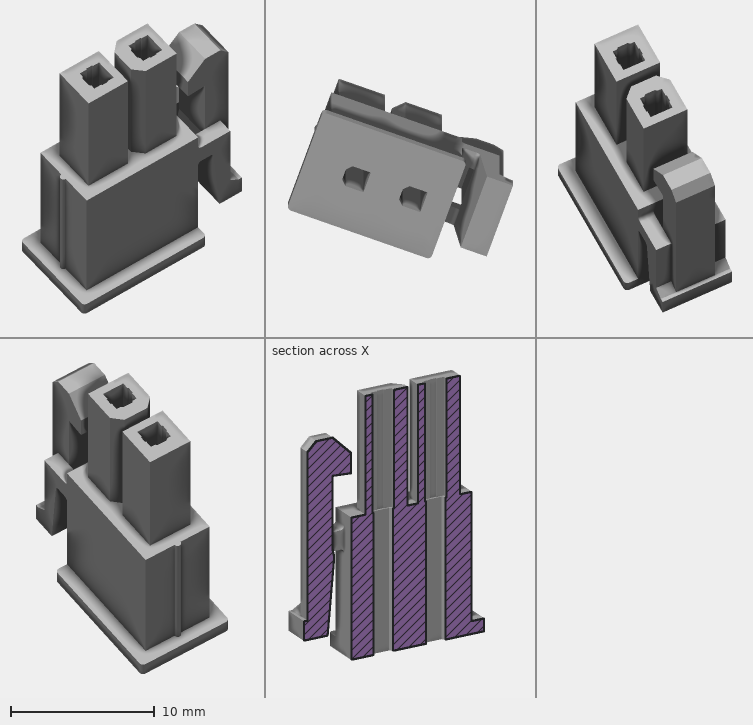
import cadquery as cq


OVERALL_DEPTH = 14.4

FLANGE_WIDTH = 7.39
FLANGE_DEPTH = 10.62
FLANGE_HEIGHT = 1.0
FLANGE_CORNER_RADIUS = 0.3

BODY_WIDTH = 5.4
BODY_DEPTH = 9.63
BODY_TOP = 10.7
RIB_RADIUS = 0.25

TOWER_PITCH = 4.2
TOWER_SIZE = 3.4
TOWER_TOP = 19.6
FIRST_TOWER_BACK = -1.12
KEY_CHAMFER = 0.73

MOUTH_WIDTH = 1.7
MOUTH_DEPTH = 1.66
MOUTH_SETBACK = 0.61
SIDE_GROOVE_SPAN = 1.85
SIDE_GROOVE_WIDTH = 0.53
SIDE_GROOVE_SETBACK = 0.53
PASSAGE_WIDTH = 1.5
PASSAGE_DEPTH = 1.7
PASSAGE_SETBACK = 0.09
PASSAGE_CHAMFER = 0.37

ARM_WIDTH = 3.03
ARM_INNER_Y = 1.48
ARM_OUTER_Y = 3.5
LATCH_TOP = 17.0
ARM_BACK_CHAMFER = 0.7
HOOK_TIP_TOP = 15.55
HOOK_TIP_BOTTOM = 14.0
HOOK_ROOT_BOTTOM = 14.1

BRIDGE_TOP = 9.43
BRIDGE_BOTTOM = 7.98
BRIDGE_FILLET = 0.3
LEG_OUTER_Y = 2.78
LEG_INNER_TOP_Y = 1.33
FOOT_INNER_Y = 1.86
FOOT_OUTER_Y = OVERALL_DEPTH - FLANGE_DEPTH
FOOT_BOTTOM = 2.2
FOOT_TOP = 3.68
FOOT_RAMP_TOP = 4.1


def block(width, back, depth, bottom, top):
    """Box centred on X that runs from `back` toward -Y."""
    box = cq.Workplane("XY").box(width, depth, top - bottom, centered=(True, False, False))
    return box.translate((0, back - depth, bottom))


def front_chamfered(box, size):
    """Chamfer the two upright edges on the -Y side."""
    return box.faces("<Y").edges("|Z").chamfer(size)


def side_profile(points, width):
    """Extrude an outline of (y, z) points symmetrically along X."""
    return cq.Workplane("YZ").polyline(points).close().extrude(width / 2, both=True)


def make_flange():
    flange = block(FLANGE_WIDTH, 0, FLANGE_DEPTH, 0, FLANGE_HEIGHT)
    return flange.edges("|Z").fillet(FLANGE_CORNER_RADIUS)


def make_body():
    body = block(BODY_WIDTH, 0, BODY_DEPTH, 0, BODY_TOP)
    rib = cq.Workplane("XY").center(0, -BODY_DEPTH).circle(RIB_RADIUS).extrude(BODY_TOP)
    return body.union(rib)


def make_tower(back, keyed):
    tower = block(TOWER_SIZE, back, TOWER_SIZE, FLANGE_HEIGHT, TOWER_TOP)
    return front_chamfered(tower, KEY_CHAMFER) if keyed else tower


def make_cavity(tower_back):
    mouth_back = tower_back - MOUTH_SETBACK
    groove_back = mouth_back - SIDE_GROOVE_SETBACK
    passage_back = mouth_back - PASSAGE_SETBACK
    mouth = block(MOUTH_WIDTH, mouth_back, MOUTH_DEPTH, BODY_TOP, TOWER_TOP)
    grooves = block(SIDE_GROOVE_SPAN, groove_back, SIDE_GROOVE_WIDTH, BODY_TOP, TOWER_TOP)
    passage = block(PASSAGE_WIDTH, passage_back, PASSAGE_DEPTH, 0, TOWER_TOP)
    return mouth.union(grooves).union(front_chamfered(passage, PASSAGE_CHAMFER))


def make_latch_arm():
    outline = [
        (ARM_OUTER_Y, FOOT_TOP),
        (ARM_OUTER_Y, LATCH_TOP - ARM_BACK_CHAMFER),
        (ARM_OUTER_Y - ARM_BACK_CHAMFER, LATCH_TOP),
        (ARM_INNER_Y, LATCH_TOP),
        (0, HOOK_TIP_TOP),
        (0, HOOK_TIP_BOTTOM),
        (ARM_INNER_Y, HOOK_ROOT_BOTTOM),
        (ARM_INNER_Y, (BRIDGE_TOP + BRIDGE_BOTTOM) / 2),
        (LEG_INNER_TOP_Y, BRIDGE_BOTTOM),
        (FOOT_INNER_Y, FOOT_BOTTOM),
    ]
    return side_profile(outline, ARM_WIDTH)


def make_bridge_and_foot():
    outline = [
        (0, BRIDGE_TOP),
        (LEG_OUTER_Y, BRIDGE_TOP),
        (LEG_OUTER_Y, FOOT_RAMP_TOP),
        (ARM_OUTER_Y, FOOT_TOP),
        (FOOT_OUTER_Y, FOOT_TOP),
        (FOOT_OUTER_Y, FOOT_BOTTOM),
        (FOOT_INNER_Y, FOOT_BOTTOM),
        (LEG_INNER_TOP_Y, BRIDGE_BOTTOM),
        (0, BRIDGE_BOTTOM),
    ]
    return side_profile(outline, BODY_WIDTH)


def make_bridge_window():
    """Opening below the hook that splits the bridge into two side straps."""
    return block(ARM_WIDTH, ARM_INNER_Y, ARM_INNER_Y, FOOT_TOP, BODY_TOP)


def bridge_edge(y, z):
    """Pick the X-direction edge of the bridge nearest to (y, z)."""
    return cq.selectors.NearestToPointSelector((0, y, z))


result = make_body().union(make_bridge_and_foot())
for corner in [(0, BRIDGE_TOP), (0, BRIDGE_BOTTOM), (LEG_INNER_TOP_Y, BRIDGE_BOTTOM)]:
    result = result.edges("|X").edges(bridge_edge(*corner)).fillet(BRIDGE_FILLET)

result = result.cut(make_bridge_window())
result = result.union(make_flange()).union(make_latch_arm())

second_tower_back = FIRST_TOWER_BACK - TOWER_PITCH
result = result.union(make_tower(FIRST_TOWER_BACK, keyed=True))
result = result.union(make_tower(second_tower_back, keyed=False))

for tower_back in (FIRST_TOWER_BACK, second_tower_back):
    result = result.cut(make_cavity(tower_back))